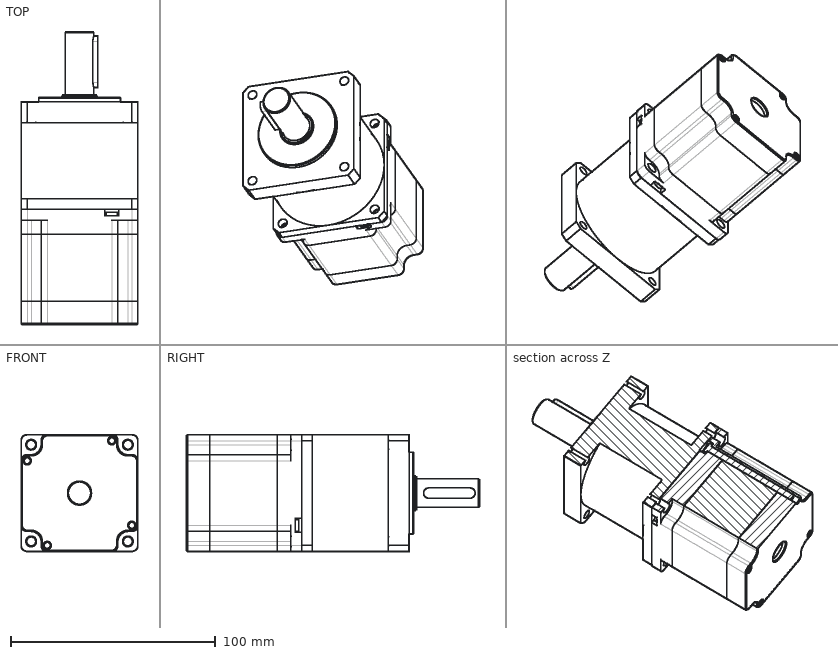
import cadquery as cq
import math


width = 57.0
half_width = width / 2
corner_size = 3.0
bolt_offset = 23.6

rear_cover_end = 11.5
stack_end = 44.2
motor_flange_start = 50.9
motor_end = 56.3
adapter_end = 61.5
ring_end = 98.5
output_flange_end = 108.7
pilot_end = 111.0
shaft_tip = 143.0

notch_radius = 4.9
notch_edge = bolt_offset - notch_radius
edge_radius = 3.0
rear_chamfer = 0.6
motor_hole_diameter = 5.1
rear_recess_diameter = 10.9
rear_recess_depth = 2.0
rear_recess_chamfer = 0.5

screw_near = notch_edge - edge_radius
screw_far = half_width - edge_radius
screw_diameter = 3.0
screw_head_diameter = 5.6
screw_head_height = 1.6
screw_end_depth = 3.6
screw_hole_chamfer = 0.5
head_pocket_width = 7.0
head_pocket_depth = 3.1
head_seat = motor_end - head_pocket_depth

gearbox_hole_diameter = 4.5
pilot_diameter = 40.0
pilot_chamfer = 0.5

shaft_diameter = 14.0
shaft_chamfer = 0.6
shoulder_diameter = 16.2
shoulder_end = 112.3
journal_diameter = 17.2
journal_end = 111.5
key_width = 5.0
key_start = 115.7
key_length = 25.2
key_bottom = 4.0
key_top = 9.0


def plane_at(y):
    """Workplane across the axis at y; a negative extrusion runs toward +Y."""
    return cq.Workplane("XZ", origin=(0, y, 0))


def cylinder(diameter, start, end, places=((0, 0),)):
    return plane_at(start).pushPoints(places).circle(diameter / 2).extrude(start - end)


def square_plate(start, end):
    return plane_at(start).rect(width, width).extrude(start - end)


def four_turns(x, z):
    """The point (x, z) and its copies at each quarter turn about the axis."""
    return [(x, z), (-z, x), (-x, -z), (z, -x)]


bolt_places = four_turns(bolt_offset, bolt_offset)
screw_places = four_turns(screw_near, screw_far)


def motor_section(start, end):
    """Square bar with a stepped, rounded notch along each corner."""
    edge_mid = edge_radius / math.sqrt(2)
    notch_mid = bolt_offset - notch_radius / math.sqrt(2)
    corner_points = [
        (half_width, screw_near),
        (screw_far + edge_mid, screw_near + edge_mid),
        (screw_far, notch_edge),
        (bolt_offset, notch_edge),
        (notch_mid, notch_mid),
        (notch_edge, bolt_offset),
        (notch_edge, screw_far),
        (screw_near + edge_mid, screw_far + edge_mid),
        (screw_near, half_width),
    ]
    outline = plane_at(start).moveTo(half_width, -screw_near)
    for turn in range(4):
        p = [four_turns(x, z)[turn] for x, z in corner_points]
        outline = outline.lineTo(*p[0]).threePointArc(p[1], p[2])
        outline = outline.lineTo(*p[3]).threePointArc(p[4], p[5])
        outline = outline.lineTo(*p[6]).threePointArc(p[7], p[8])
    return outline.close().extrude(start - end)


def make_screw(place):
    shank = cylinder(screw_diameter, screw_end_depth, head_seat, [place])
    head = cylinder(screw_head_diameter, head_seat, head_seat + screw_head_height, [place])
    return shank.union(head)


def rear_hole(diameter, depth, rim_chamfer, places=((0, 0),)):
    """Holes from the rear face, each with a 45 degree chamfer around its rim."""
    holes = cylinder(diameter, 0, depth, places)
    flares = plane_at(0).pushPoints(places).circle(diameter / 2 + rim_chamfer)
    return holes.union(flares.extrude(-rim_chamfer, taper=45))


def make_rear_cover():
    cover = motor_section(0, rear_cover_end).faces("<Y").chamfer(rear_chamfer)
    recess = rear_hole(rear_recess_diameter, rear_recess_depth, rear_recess_chamfer)
    screw_holes = rear_hole(screw_diameter, rear_cover_end, screw_hole_chamfer, screw_places)
    return cover.cut(recess).cut(screw_holes)


def make_stack():
    screw_holes = cylinder(screw_diameter, rear_cover_end, stack_end, screw_places)
    return motor_section(rear_cover_end, stack_end).cut(screw_holes)


def make_head_pockets():
    """U-shaped pockets for the screw heads, open to the front and to one side each."""
    pocket = cylinder(head_pocket_width, head_seat, motor_end, [(screw_near, screw_far)])
    mouth = (
        plane_at(head_seat)
        .center(screw_near, screw_far + edge_radius / 2)
        .rect(head_pocket_width, edge_radius)
        .extrude(-head_pocket_depth)
    )
    pocket = pocket.union(mouth)
    pockets = pocket
    for turn in range(1, 4):
        pockets = pockets.union(pocket.rotate((0, 0, 0), (0, 1, 0), 90 * turn))
    return pockets


def make_motor_front():
    flange = square_plate(motor_flange_start, motor_end).edges("|Y").fillet(corner_size)
    front = motor_section(stack_end, motor_flange_start).union(flange)
    bolt_holes = cylinder(motor_hole_diameter, motor_flange_start, motor_end, bolt_places)
    screw_holes = cylinder(screw_diameter, stack_end, motor_end, screw_places)
    return front.cut(bolt_holes).cut(screw_holes).cut(make_head_pockets())


def make_key():
    mid_y = key_start + key_length / 2
    return (
        cq.Workplane("YZ", origin=(key_bottom, mid_y, 0))
        .slot2D(key_length, key_width)
        .extrude(key_top - key_bottom)
    )


def make_shaft():
    journal = cylinder(journal_diameter, ring_end, journal_end)
    shoulder = cylinder(shoulder_diameter, journal_end, shoulder_end)
    output = cylinder(shaft_diameter, shoulder_end, shaft_tip).faces(">Y").chamfer(shaft_chamfer)
    return journal.union(shoulder).union(output).cut(make_key())


def make_gearbox():
    adapter = square_plate(motor_end, adapter_end).edges("|Y").chamfer(corner_size)
    ring = cylinder(width, adapter_end, ring_end)
    flange = square_plate(ring_end, output_flange_end).edges("|Y").chamfer(corner_size)
    pilot = cylinder(pilot_diameter, output_flange_end, pilot_end).faces(">Y").chamfer(pilot_chamfer)
    body = adapter.union(ring).union(flange).union(pilot)
    bolt_holes = cylinder(gearbox_hole_diameter, motor_end, output_flange_end, bolt_places)
    shaft_bore = cylinder(journal_diameter, ring_end, pilot_end)
    return body.cut(bolt_holes).cut(shaft_bore)


rear_cover = make_rear_cover()
stack = make_stack()
motor_front = make_motor_front()
gearbox = make_gearbox()
shaft = make_shaft()
key = make_key()
screws = [make_screw(place) for place in screw_places]

result = cq.Compound.makeCompound(
    [
        rear_cover.val(),
        stack.val(),
        motor_front.val(),
        gearbox.val(),
        shaft.val(),
        key.val(),
        *[screw.val() for screw in screws],
    ]
)